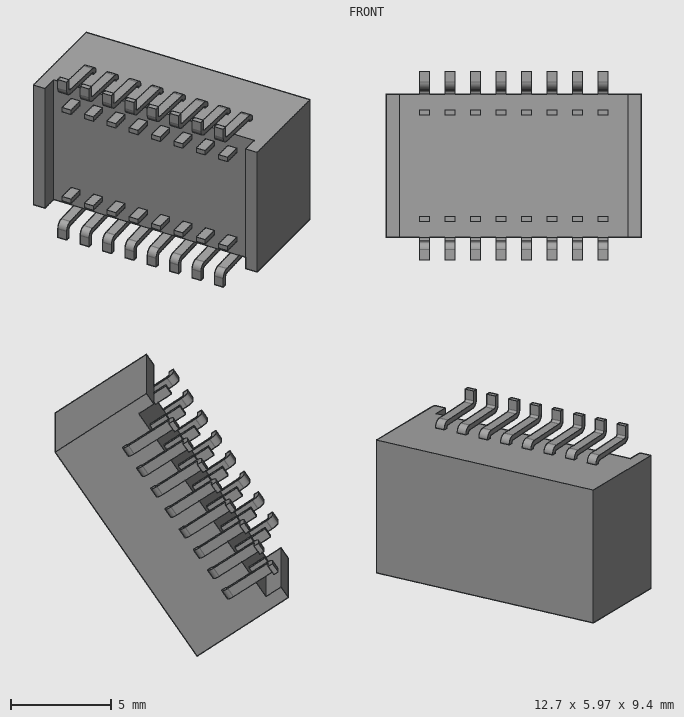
import cadquery as cq
import math

body_length = 12.71
body_height = 7.13
overall_height = 9.4
overall_depth = 5.97

body_depth = 5.47
recess_depth = 0.9
cheek_width = 0.66

contact_count = 8
pitch = 1.27
contact_width = 0.508
contact_thickness = 0.26
stub_overhang = 0.05
stub_row_offset = 2.65

lead_reach = 3.05
inner_bend_radius = 0.12
outer_bend_radius = inner_bend_radius + contact_thickness
lead_slope = 2.0
root_bend_height = 0.03
root_embed = 0.3

back_y = overall_depth
foot_front_y = 0.0
cheek_front_y = back_y - body_depth
recess_y = cheek_front_y + recess_depth
lead_rear_y = foot_front_y + lead_reach
contact_positions = [(i - (contact_count - 1) / 2) * pitch for i in range(contact_count)]


def box_between(x_range, y_range, z_range):
    """Axis-aligned box spanning the given (low, high) ranges."""
    sizes = [high - low for low, high in (x_range, y_range, z_range)]
    corner = (x_range[0], y_range[0], z_range[0])
    return cq.Workplane("XY").box(*sizes, centered=False).translate(corner)


def make_housing():
    """Block with a full-height recess between two end cheeks."""
    half_length = body_length / 2
    half_height = body_height / 2
    half_recess = half_length - cheek_width
    z_range = (-half_height, half_height)
    block = box_between((-half_length, half_length), (cheek_front_y, back_y), z_range)
    recess = box_between((-half_recess, half_recess), (cheek_front_y, recess_y), z_range)
    return block.cut(recess)


def make_stub(x, z):
    """Straight contact stub projecting forward from the recess face."""
    half_width = contact_width / 2
    half_thickness = contact_thickness / 2
    return box_between(
        (x - half_width, x + half_width),
        (cheek_front_y - stub_overhang, recess_y),
        (z - half_thickness, z + half_thickness),
    )


def make_upper_lead(x):
    """Lead leaving the top wall, bending forward, then up into a foot."""
    slope = math.radians(lead_slope)
    wall_z = body_height / 2
    tip_z = overall_height / 2

    root_y = lead_rear_y - outer_bend_radius
    root_z = wall_z + root_bend_height
    foot_y = foot_front_y + outer_bend_radius
    normal_gap = outer_bend_radius + inner_bend_radius
    forward_gap = root_y - foot_y
    arm_length = (forward_gap + normal_gap * math.sin(slope)) / math.cos(slope)
    foot_z = root_z + normal_gap * math.cos(slope) + arm_length * math.sin(slope)

    def root_point(radius, angle):
        return root_y + radius * math.cos(angle), root_z + radius * math.sin(angle)

    def foot_point(radius, angle):
        return foot_y - radius * math.cos(angle), foot_z - radius * math.sin(angle)

    bend_end = math.pi / 2 - slope
    bend_middle = bend_end / 2
    embed_z = wall_z - root_embed

    profile = (
        cq.Workplane("YZ")
        .moveTo(lead_rear_y, embed_z)
        .lineTo(*root_point(outer_bend_radius, 0))
        .threePointArc(root_point(outer_bend_radius, bend_middle), root_point(outer_bend_radius, bend_end))
        .lineTo(*foot_point(inner_bend_radius, bend_end))
        .threePointArc(foot_point(inner_bend_radius, bend_middle), foot_point(inner_bend_radius, 0))
        .lineTo(foot_front_y + contact_thickness, tip_z)
        .lineTo(foot_front_y, tip_z)
        .lineTo(*foot_point(outer_bend_radius, 0))
        .threePointArc(foot_point(outer_bend_radius, bend_middle), foot_point(outer_bend_radius, bend_end))
        .lineTo(*root_point(inner_bend_radius, bend_end))
        .threePointArc(root_point(inner_bend_radius, bend_middle), root_point(inner_bend_radius, 0))
        .lineTo(lead_rear_y - contact_thickness, embed_z)
        .close()
    )
    return profile.extrude(contact_width / 2, both=True).translate((x, 0, 0))


result = make_housing()
for contact_x in contact_positions:
    upper_lead = make_upper_lead(contact_x)
    result = result.union(upper_lead).union(upper_lead.mirror("XY"))
    for row_z in (-stub_row_offset, stub_row_offset):
        result = result.union(make_stub(contact_x, row_z))